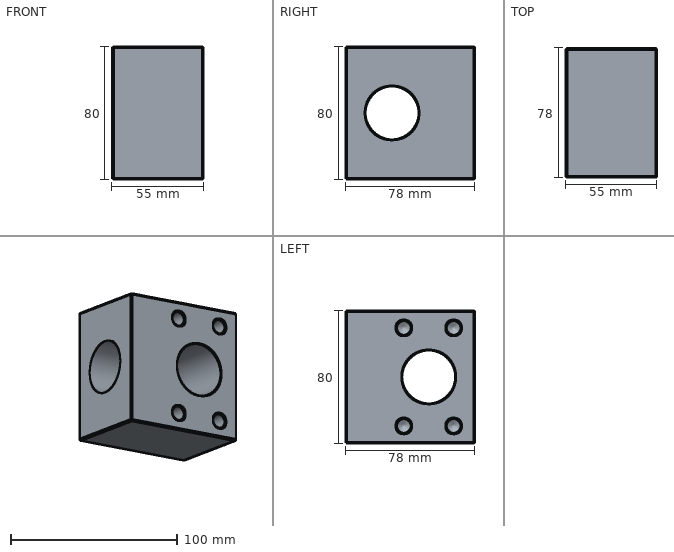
import cadquery as cq
import math

length_x = 55.0
width_y = 78.0
height_z = 80.0
edge_chamfer = 1.0

bore_diameter = 32.0
bore_y = -11.0
bore_chamfer = 0.5

hole_diameter = 8.5
hole_mouth_diameter = 10.0
hole_depth = 20.0
hole_spacing_y = 30.0
hole_spacing_z = 59.0
drill_point_angle = 118.0

face_x = -length_x / 2


def make_block():
    block = cq.Workplane("XY").box(length_x, width_y, height_z)
    return block.edges().chamfer(edge_chamfer)


def make_bore():
    """Through bore with a small chamfer at both mouths."""
    radius = bore_diameter / 2
    mouth_radius = radius + bore_chamfer
    profile = [
        (face_x, 0),
        (face_x, mouth_radius),
        (face_x + bore_chamfer, radius),
        (-face_x - bore_chamfer, radius),
        (-face_x, mouth_radius),
        (-face_x, 0),
    ]
    bore = cq.Workplane("XY").polyline(profile).close().revolve(360, (0, 0), (1, 0))
    return bore.translate((0, bore_y, 0))


def make_side_bore():
    """Bore of the same diameter from the +Y face to the axis of the through bore."""
    length = width_y / 2 - bore_y
    bore = cq.Workplane("XZ").circle(bore_diameter / 2).extrude(-length)
    return bore.translate((0, bore_y, 0))


def make_hole(y, z):
    """Drilled hole with a countersunk mouth and a conical bottom."""
    radius = hole_diameter / 2
    mouth_radius = hole_mouth_diameter / 2
    point_length = radius / math.tan(math.radians(drill_point_angle / 2))
    profile = [
        (face_x, 0),
        (face_x, mouth_radius),
        (face_x + mouth_radius - radius, radius),
        (face_x + hole_depth, radius),
        (face_x + hole_depth + point_length, 0),
    ]
    hole = cq.Workplane("XY").polyline(profile).close().revolve(360, (0, 0), (1, 0))
    return hole.translate((0, y, z))


result = make_block().cut(make_bore()).cut(make_side_bore())
for y_side in (-1, 1):
    for z_side in (-1, 1):
        hole_y = bore_y + y_side * hole_spacing_y / 2
        hole_z = z_side * hole_spacing_z / 2
        result = result.cut(make_hole(hole_y, hole_z))